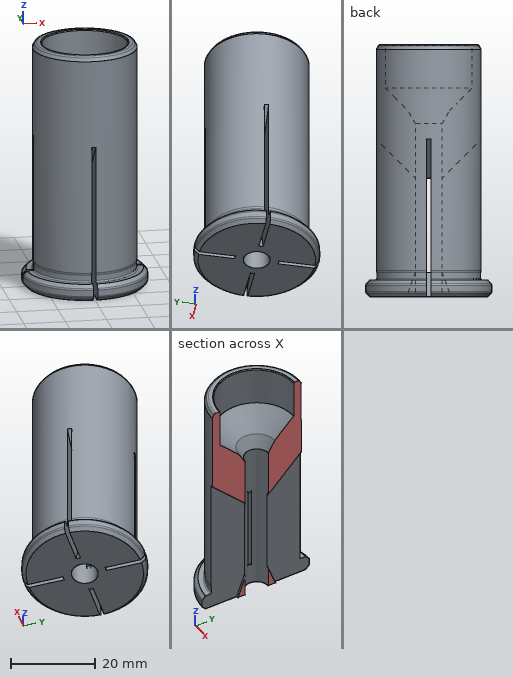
import cadquery as cq
import math

length = 60.0
body_radius = 24.95 / 2
flange_radius = 30.0 / 2

flange_height = 4.0
flange_chamfer = 1.0
flange_edge_round = 0.6
neck_radius = 12.35
neck_foot_round = 0.35
neck_top = 5.75
neck_taper = 0.55

rim_chamfer_height = 1.15
rim_chamfer_angle = 30.0
rim_chamfer_width = rim_chamfer_height * math.tan(math.radians(rim_chamfer_angle))
rim_round = 0.6
mouth_chamfer = 0.25

socket_radius = 20.5 / 2
socket_floor = 49.6
funnel_radius = 10.0 / 2
bore_radius = 6.35 / 2
funnel_bottom = socket_floor - (socket_radius - funnel_radius)
throat_angle = 30.0
throat_height = (funnel_radius - bore_radius) / math.tan(math.radians(throat_angle))
bore_top = funnel_bottom - throat_height

slot_count = 4
slot_width = 1.0
slot_top = 37.5
slot_inner_top = slot_top - (body_radius - bore_radius)
slot_inner_bottom = 5.8
slot_lower_angle = 20.0
slot_lower_run = slot_inner_bottom * math.tan(math.radians(slot_lower_angle))
slot_reach = flange_radius + 0.6


def revolve_outline(points):
    """Turn an outline of (radius, height) points about the Z axis."""
    return cq.Workplane("XZ").polyline(points).close().revolve(360, (0, 0, 0), (0, 1, 0))


def make_flange():
    return (
        cq.Workplane("XY")
        .circle(flange_radius)
        .extrude(flange_height)
        .faces("<Z or >Z")
        .chamfer(flange_chamfer)
        .edges("%CIRCLE")
        .filter(lambda edge: math.isclose(edge.radius(), flange_radius))
        .fillet(flange_edge_round)
    )


def make_sleeve():
    """Tube body with a narrow relief neck where it meets the flange."""
    taper_end = neck_top + neck_taper
    foot_radius = neck_radius + neck_foot_round
    foot_top = flange_height + neck_foot_round
    arc_offset = neck_foot_round * (1 - math.sqrt(0.5))
    neck = (
        cq.Workplane("XZ")
        .lineTo(foot_radius, 0)
        .lineTo(foot_radius, flange_height)
        .threePointArc((neck_radius + arc_offset, flange_height + arc_offset), (neck_radius, foot_top))
        .lineTo(neck_radius, neck_top)
        .lineTo(body_radius, taper_end)
        .lineTo(0, taper_end)
        .close()
        .revolve(360, (0, 0, 0), (0, 1, 0))
    )
    tube = (
        cq.Workplane("XY", origin=(0, 0, taper_end))
        .circle(body_radius)
        .extrude(length - taper_end)
        .faces(">Z")
        .chamfer(rim_chamfer_height, rim_chamfer_width)
        .faces(">Z")
        .edges()
        .fillet(rim_round)
    )
    return neck.union(tube)


def make_bore():
    """Wide socket narrowing through two cones into the through bore."""
    return revolve_outline([
        (0, 0),
        (bore_radius, 0),
        (bore_radius, bore_top),
        (funnel_radius, funnel_bottom),
        (socket_radius, socket_floor),
        (socket_radius, length - mouth_chamfer),
        (socket_radius + mouth_chamfer, length),
        (0, length),
    ])


def make_slot():
    """One slot, from the bore out past the flange, sloping at both ends."""
    top_end = slot_inner_top + slot_reach - bore_radius
    outline = [
        (0, slot_inner_bottom),
        (bore_radius, slot_inner_bottom),
        (bore_radius + slot_lower_run, 0),
        (slot_reach, 0),
        (slot_reach, top_end),
        (bore_radius, slot_inner_top),
        (0, slot_inner_top),
    ]
    return cq.Workplane("XZ").polyline(outline).close().extrude(slot_width / 2, both=True)


result = make_flange().union(make_sleeve()).cut(make_bore())
for index in range(slot_count):
    angle = index * 360 / slot_count
    result = result.cut(make_slot().rotate((0, 0, 0), (0, 0, 1), angle))